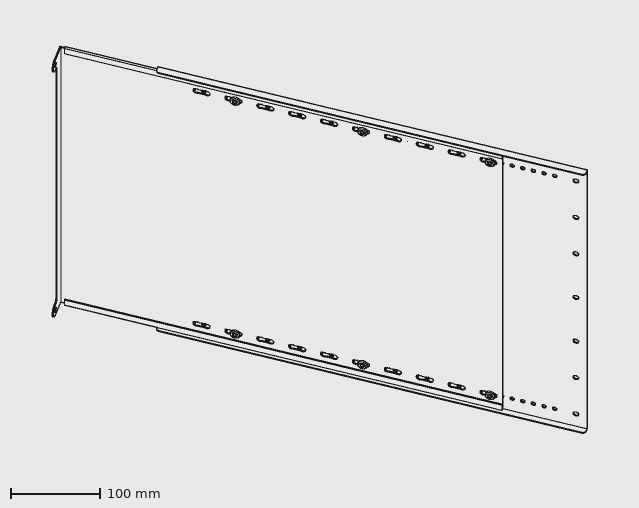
import cadquery as cq


total_length = 619.75
total_width = 444.5
sheet = 1.55

backing_start = 114.75
side_flange_depth = 8.25
side_flange_corner_radius = 4
row_height = 200.0
backing_hole_diameter = 5.0
backing_hole_pitch = 12.5
backing_hole_count = 36
last_backing_hole = 581.75
end_hole_diameter = 6.5
end_hole_margin = 13
end_hole_heights = [0.0, 75.0, 137.5, row_height]

panel_end = 521.0
panel_back = -sheet
panel_front = panel_back - sheet
hem_start = 6.25
hem_width = 9
hem_clearance = 0.25
hem_half_width = total_width / 2 - sheet - hem_clearance
end_flange_half_width = 218.75
end_flange_reach = 16.8
tab_reach = 30.0
tab_height = 17.0
tab_corner_radius = 7
tab_root_radius = 3.5
tab_hole_diameter = 6
tab_hole_to_tip = 7.5

slot_count = 10
slot_pitch = 3 * backing_hole_pitch
slot_length = 20.0
slot_lobe_diameter = 7.5
slot_neck_width = 6.5
rivet_offset = 2.25

rivet_hole_from_last = 6
last_rivet = last_backing_hole - rivet_hole_from_last * backing_hole_pitch
rivet_spacing = 4 * slot_pitch
rivet_count = 3
head_diameter = 11.5
head_height = 3.3
head_bevel = 1.25
head_recess_diameter = 5
head_recess_depth = 1.5
tail_diameter = 6.5
tail_length = 2.0
tail_end = 5.7

first_slot = last_rivet - rivet_offset - (slot_count - 1) * slot_pitch
rivet_points = [
    (last_rivet - index * rivet_spacing, side * row_height)
    for index in range(rivet_count)
    for side in (-1, 1)
]


def block(x_range, y_range, z_range):
    """Box spanning the given (low, high) ranges."""
    lows, highs = zip(x_range, y_range, z_range)
    size = [high - low for low, high in zip(lows, highs)]
    return cq.Workplane("XY").box(*size, centered=False).translate(lows)


def cylinder(point, diameter, y_start, y_end):
    """Cylinder along Y at an (x, z) point."""
    x, z = point
    return (
        cq.Workplane("XZ", origin=(x, y_start, z))
        .circle(diameter / 2)
        .extrude(y_start - y_end)
    )


def make_backing_plate():
    half_width = total_width / 2
    x_range = (backing_start, total_length)
    plate = block(x_range, (-sheet, 0), (-half_width, half_width))
    for side in (-1, 1):
        z_range = sorted((side * half_width, side * (half_width - sheet)))
        flange = block(x_range, (-side_flange_depth, 0), z_range)
        flange = flange.edges("|Z and <Y").fillet(side_flange_corner_radius)
        plate = plate.union(flange)

    row_holes = [
        (last_backing_hole - index * backing_hole_pitch, side * row_height)
        for index in range(backing_hole_count)
        for side in (-1, 1)
    ]
    end_holes = {
        (total_length - end_hole_margin, side * height)
        for height in end_hole_heights
        for side in (-1, 1)
    }
    drilling = cq.Workplane("XZ")
    drilling = drilling.pushPoints(row_holes).circle(backing_hole_diameter / 2).extrude(sheet)
    plate = plate.cut(drilling)
    end_drilling = cq.Workplane("XZ").pushPoints(sorted(end_holes))
    return plate.cut(end_drilling.circle(end_hole_diameter / 2).extrude(sheet))


def make_end_flange():
    """Flange bent forward at X = 0, with a drilled tab at each end."""
    flange = block(
        (0, sheet), (-end_flange_reach, panel_back), (-end_flange_half_width, end_flange_half_width)
    )
    tab_center = end_flange_half_width - tab_height / 2
    for side in (-1, 1):
        z_range = (side * tab_center - tab_height / 2, side * tab_center + tab_height / 2)
        tab = block((0, sheet), (-tab_reach, panel_back), z_range)
        tab = tab.edges("|X and <Y").fillet(tab_corner_radius)
        flange = flange.union(tab)
    inner_edge = end_flange_half_width - tab_height
    for side in (-1, 1):
        corner = cq.selectors.NearestToPointSelector((sheet / 2, -end_flange_reach, side * inner_edge))
        flange = flange.edges("|X").edges(corner).fillet(tab_root_radius)
    tab_holes = (
        cq.Workplane("YZ")
        .pushPoints([(tab_hole_to_tip - tab_reach, side * tab_center) for side in (-1, 1)])
        .circle(tab_hole_diameter / 2)
        .extrude(sheet)
    )
    return flange.cut(tab_holes)


def make_panel():
    y_range = (panel_front, panel_back)
    panel = block((0, panel_end), y_range, (-end_flange_half_width, end_flange_half_width))
    panel = panel.union(make_end_flange())
    for side in (-1, 1):
        z_range = sorted((side * hem_half_width, side * (hem_half_width - hem_width)))
        panel = panel.union(block((hem_start, panel_end), (panel_front - sheet, panel_back), z_range))

    slot_points = [
        (first_slot + index * slot_pitch, side * row_height)
        for index in range(slot_count)
        for side in (-1, 1)
    ]
    lobe_offset = (slot_length - slot_lobe_diameter) / 2
    lobe_points = [(x + end * lobe_offset, z) for x, z in slot_points for end in (-1, 1)]
    face = cq.Workplane("XZ", origin=(0, panel_back, 0))
    lobes = face.pushPoints(lobe_points).circle(slot_lobe_diameter / 2).extrude(sheet)
    necks = face.pushPoints(slot_points).rect(2 * lobe_offset, slot_neck_width).extrude(sheet)
    return panel.clean().cut(lobes).cut(necks)


def make_rivet(point):
    head_top = panel_front - head_height
    head = cylinder(point, head_diameter, panel_front, head_top)
    head = head.faces("<Y").edges().chamfer(head_bevel)
    shank = cylinder(point, backing_hole_diameter, tail_end, panel_front)
    tail = cylinder(point, tail_diameter, tail_end, tail_end - tail_length)
    recess = cylinder(point, head_recess_diameter, head_top + head_recess_depth, head_top)
    return head.union(shank).union(tail).cut(recess)


backing_plate = make_backing_plate()
panel = make_panel()
rivets = [make_rivet(point) for point in rivet_points]

result = cq.Compound.makeCompound(
    [backing_plate.val(), panel.val()] + [rivet.val() for rivet in rivets]
)